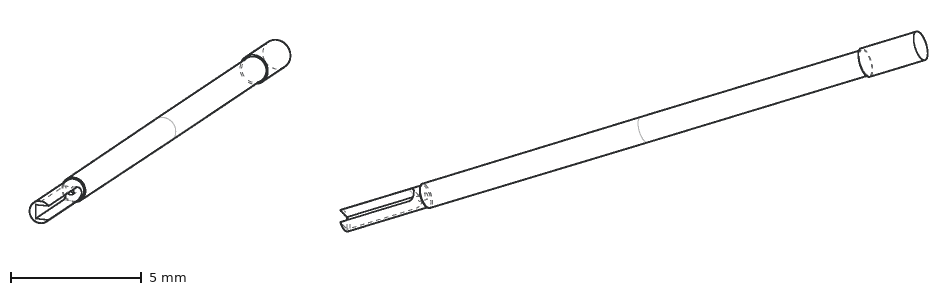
import cadquery as cq

total_length = 25.0
head_length = 2.4
straight_length = 9.6
cup_length = 3.5

head_diameter = 1.15
barrel_diameter = 1.02
barrel_end_diameter = 0.98
cup_diameter = 0.88

shoulder_chamfer = 0.04

slot_width = 0.55
slot_floor_x = -0.19
slot_length = 3.25

axial_diameter = 0.25
axial_depth = 0.3

head_end = total_length / 2
head_start = head_end - head_length
taper_start = head_start - straight_length
cup_end = -total_length / 2
shoulder = cup_end + cup_length
slot_tip = cup_end + slot_length


def turned_body():
    """Solid of revolution: solder cup, tapered barrel, straight barrel and head."""
    barrel_end_radius = barrel_end_diameter / 2
    return (
        cq.Workplane("XY")
        .moveTo(0, cup_end)
        .lineTo(cup_diameter / 2, cup_end)
        .lineTo(cup_diameter / 2, shoulder)
        .lineTo(barrel_end_radius - shoulder_chamfer, shoulder)
        .lineTo(barrel_end_radius, shoulder + shoulder_chamfer)
        .lineTo(barrel_diameter / 2, taper_start)
        .lineTo(barrel_diameter / 2, head_start)
        .lineTo(head_diameter / 2, head_start)
        .lineTo(head_diameter / 2, head_end)
        .lineTo(0, head_end)
        .close()
        .revolve(360, (0, 0, 0), (0, 1, 0))
    )


def cup_slot():
    """Slot cut from +X down to a flat floor, open at the free end, full round at its tip."""
    half_width = slot_width / 2
    round_start = slot_tip - half_width
    return (
        cq.Workplane("YZ", origin=(slot_floor_x, 0, 0))
        .moveTo(cup_end, -half_width)
        .lineTo(round_start, -half_width)
        .threePointArc((slot_tip, 0), (round_start, half_width))
        .lineTo(cup_end, half_width)
        .close()
        .extrude(cup_diameter)
    )


def axial_hole():
    """Blind hole along the axis, running past the tip of the slot."""
    return (
        cq.Workplane("XZ", origin=(0, slot_tip - slot_width / 2, 0))
        .circle(axial_diameter / 2)
        .extrude(-(slot_width / 2 + axial_depth))
    )


result = turned_body().cut(cup_slot()).cut(axial_hole())